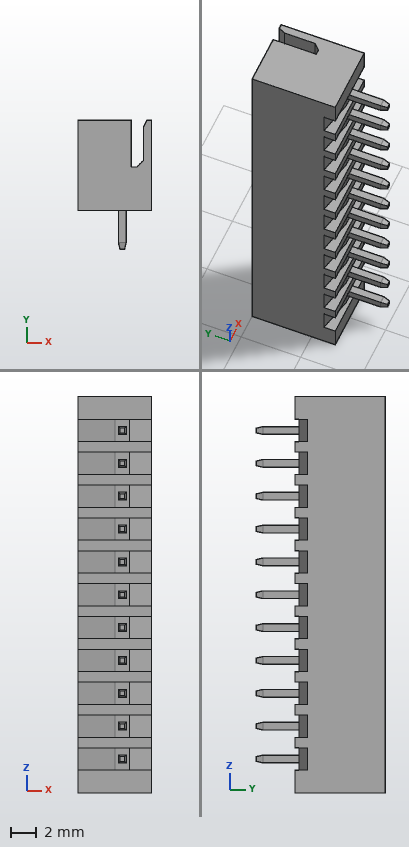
import cadquery as cq

body_width = 5.7
body_depth = 7.0
body_length = 30.65

pin_count = 11
end_to_first_pin = 2.65
pin_pitch = (body_length - 2 * end_to_first_pin) / (pin_count - 1)
pin_size = 0.6
pin_x = 3.43
pin_reach = 3.0
pin_tip_size = 0.37
pin_tip_length = 0.52

pocket_height = 1.72
land_width = 1.1
land_left = pin_x - land_width / 2
land_right = pin_x + land_width / 2
land_depth = 0.3
pocket_edge_depth = 0.95

slot_left = 4.15
slot_depth = 3.62
slot_floor_chamfer = 0.5
latch_wall = 0.65
slot_right = body_width - latch_wall
mouth_chamfer_width = 0.28
mouth_chamfer_depth = 0.55


def extrude_along_z(outline, height, centre_z):
    """Extrude a closed XY outline by height, centred on centre_z."""
    return (
        cq.Workplane("XY", origin=(0, 0, centre_z - height / 2))
        .polyline(outline)
        .close()
        .extrude(height)
    )


def make_slot():
    """Full-length slot with a chamfered floor corner and a chamfered latch mouth."""
    floor_y = body_depth - slot_depth
    outline = [
        (slot_left, body_depth),
        (slot_left, floor_y),
        (slot_right - slot_floor_chamfer, floor_y),
        (slot_right, floor_y + slot_floor_chamfer),
        (slot_right, body_depth - mouth_chamfer_depth),
        (slot_right + mouth_chamfer_width, body_depth),
    ]
    return extrude_along_z(outline, body_length, 0)


def make_pocket(z):
    """Relief pocket across the whole width of the pin-side face."""
    outline = [
        (0, 0),
        (0, pocket_edge_depth),
        (land_left, land_depth),
        (land_right, land_depth),
        (body_width, pocket_edge_depth),
        (body_width, 0),
    ]
    return extrude_along_z(outline, pocket_height, z)


def make_pin(z):
    """Square pin from the pocket land outwards, ending in a tapered tip."""
    shank_length = land_depth + pin_reach - pin_tip_length
    shank = (
        cq.Workplane("XZ", origin=(pin_x, land_depth, z))
        .rect(pin_size, pin_size)
        .extrude(shank_length)
    )
    tip = (
        cq.Workplane("XZ", origin=(pin_x, land_depth - shank_length, z))
        .rect(pin_size, pin_size)
        .workplane(offset=pin_tip_length)
        .rect(pin_tip_size, pin_tip_size)
        .loft(ruled=True)
    )
    return shank.union(tip)


body = cq.Workplane("XY").box(body_width, body_depth, body_length, centered=(False, False, True))
body = body.cut(make_slot())

first_pin_z = end_to_first_pin - body_length / 2
for index in range(pin_count):
    z = first_pin_z + index * pin_pitch
    body = body.cut(make_pocket(z)).union(make_pin(z))

result = body